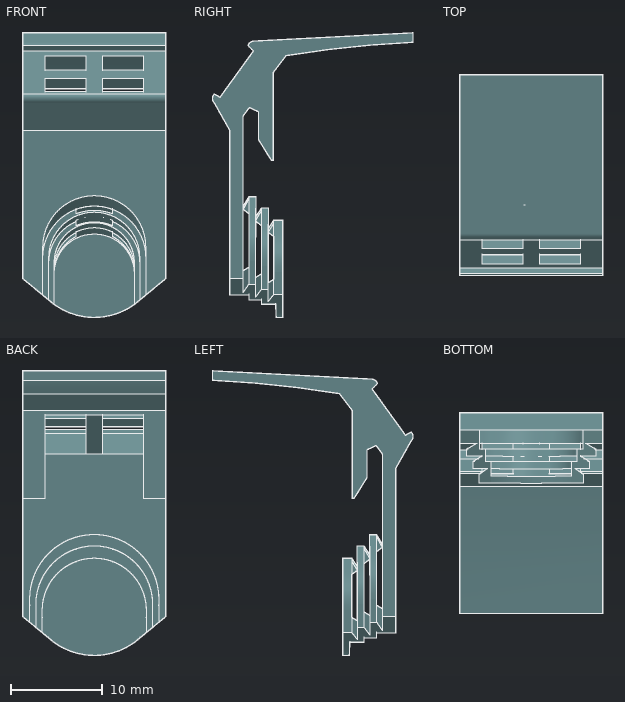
import cadquery as cq
import math

width = 15.6
height = 31.0
half_width = width / 2
wall = 1.45

face_top = (2.57, 29.02)
face_bottom = (-1.05, 24.0)
lower_lip_tip = (-1.9, 23.85)
lower_lip_half_height = 0.5
lower_lip_edge_y = -1.67
lower_lip_root_z = 20.37
upper_lip_tip = (1.98, 29.6)
upper_lip_middle = (2.25, 29.98)
upper_lip_root = (2.67, 30.1)
face_run = face_top[0] - face_bottom[0]
face_rise = face_top[1] - face_bottom[1]
face_slope = face_run / face_rise

arm_end_y = 19.95
arm_end_thickness = 1.05
arm_underside_middle = (13.02, 29.42)
arm_root = (6.15, 28.5)
body_back_y = 4.75
body_back_top_z = 26.65
tongue_front_y = 3.13
tongue_tip_z = 17.1
tongue_tip_thickness = 0.22
tongue_bevel_z = 19.35
slot_ridge = (2.15, 22.85)
slot_front_z = 21.92
slot_back_z = 22.38

window_inner_x = 0.9
window_outer_x = 5.33
upper_window = (26.95, 28.45)
lower_window = (24.6, 26.05)
face_plate_run = 1.25
bar_run = 2.45
upper_ceiling_drop = 0.88
bar_drop = face_slope
lower_floor_drop = 0.45
cell_step = (3.35, 27.47)
cell_back_z = 26.2
notch_ridge = (4.62, 26.3)

edge_corner_z = 4.25
tip_corner = (4.37, 1.43)
layer_depth = 0.7
layer_fronts = (2.08, 3.45, 4.77)
outer_radii = (7.05, 6.35, 5.67)
outer_centres = (6.15, 5.58, 4.93)
opening_radii = (5.6, 4.95, 4.37)
opening_centres = (7.65, 6.5, 5.95)
opening_drop = 0.77
neck_flare = 0.35
bridge_half_width = 1.98
neck_side_tops = (5.1, 4.37, 3.78)
neck_side_rise = 0.6
cover_front_y = 4.95
cover_back_y = 5.7
layer_fold = 0.1
below = -3.1


def extrude_x(outline, x_start, x_end):
    """Prism along X from a closed Workplane outline drawn in Y, Z."""
    return outline.extrude(x_end - x_start).translate((x_start, 0, 0))


def yz_prism(points, x_start, x_end):
    return extrude_x(cq.Workplane("YZ").polyline(points).close(), x_start, x_end)


def face_y(z):
    """Y of the sloped face at height z."""
    return face_bottom[0] + (z - face_bottom[1]) * face_slope


def behind_face(z_start, drop, depth):
    """Point reached from the sloped face by falling `drop` per unit of Y."""
    run = depth / (1 + face_slope * drop)
    return (face_y(z_start) + run, z_start - drop * run)


def arch_wire(y, radius, centre_z):
    return (
        cq.Workplane("XZ", origin=(0, y, 0))
        .moveTo(-radius, below)
        .lineTo(-radius, centre_z)
        .threePointArc((0, centre_z + radius), (radius, centre_z))
        .lineTo(radius, below)
        .close()
        .wires()
        .val()
    )


def arch(y_start, radius_start, centre_start, y_end, radius_end, centre_end):
    """Arched block, open downwards, blending between two arches along Y."""
    wires = [arch_wire(y_start, radius_start, centre_start), arch_wire(y_end, radius_end, centre_end)]
    return cq.Workplane(obj=cq.Solid.makeLoft(wires, True))


def make_body():
    """Side profile of arm, sloped head, tongue and wall."""
    profile = (
        cq.Workplane("YZ")
        .moveTo(0, 0)
        .lineTo(0, lower_lip_root_z)
        .lineTo(lower_lip_edge_y, lower_lip_tip[1] - lower_lip_half_height)
        .threePointArc(lower_lip_tip, (lower_lip_edge_y, lower_lip_tip[1] + lower_lip_half_height))
        .lineTo(*face_bottom)
        .lineTo(*face_top)
        .lineTo(*upper_lip_tip)
        .threePointArc(upper_lip_middle, upper_lip_root)
        .lineTo(arm_end_y, height)
        .lineTo(arm_end_y, height - arm_end_thickness)
        .threePointArc(arm_underside_middle, arm_root)
        .lineTo(body_back_y, body_back_top_z)
        .lineTo(body_back_y, tongue_tip_z)
        .lineTo(body_back_y - tongue_tip_thickness, tongue_tip_z)
        .lineTo(tongue_front_y, tongue_bevel_z)
        .lineTo(tongue_front_y, slot_back_z)
        .lineTo(*slot_ridge)
        .lineTo(wall, slot_front_z)
        .lineTo(wall, 0)
        .close()
    )
    return extrude_x(profile, -half_width, half_width)


def tongue_notch():
    """Gap through the middle of the tongue, its roof carrying on from the slot front."""
    points = [
        (wall, below),
        (wall, slot_front_z),
        notch_ridge,
        (body_back_y, cell_back_z),
        (body_back_y, below),
    ]
    return yz_prism(points, -window_outer_x, window_outer_x)


def window_cell(x_start, x_end):
    """Two windows in the face plate, opening into one cell that is open at the back."""

    def window(z_range, floor_drop, ceiling_drop):
        floor_z, ceiling_z = z_range
        points = [
            (face_y(floor_z), floor_z),
            (face_y(ceiling_z), ceiling_z),
            behind_face(ceiling_z, ceiling_drop, face_plate_run),
            behind_face(floor_z, floor_drop, face_plate_run),
        ]
        return yz_prism(points, x_start, x_end)

    cell_points = [
        behind_face(upper_window[1], upper_ceiling_drop, face_plate_run),
        cell_step,
        notch_ridge,
        (wall, slot_front_z),
        behind_face(lower_window[0], lower_floor_drop, face_plate_run),
    ]
    inner_bar_points = [
        behind_face(upper_window[0], bar_drop, face_plate_run),
        behind_face(lower_window[1], bar_drop, face_plate_run),
        behind_face(lower_window[1], bar_drop, bar_run),
        behind_face(upper_window[0], bar_drop, bar_run),
    ]
    inner_bar = yz_prism(inner_bar_points, x_start, x_end)
    cell = yz_prism(cell_points, x_start, x_end).cut(inner_bar)
    upper = window(upper_window, bar_drop, upper_ceiling_drop)
    lower = window(lower_window, lower_floor_drop, bar_drop)
    return cell.union(upper).union(lower)


def opening(index, y_start, y_end):
    """Arched opening that sinks towards the back."""
    radius = opening_radii[index]
    centre = opening_centres[index]
    return arch(y_start, radius, centre, y_end, radius, centre - opening_drop * (y_end - y_start))


def folded_slab(y_front, y_back):
    """Block with a flat front and a back face that bulges backwards at mid width."""
    points = [
        (-half_width, y_front),
        (half_width, y_front),
        (half_width, y_back),
        (0, y_back + layer_fold),
        (-half_width, y_back),
    ]
    return cq.Workplane("XY").polyline(points).close().extrude(height)


def layer(index):
    """Arched layer, solid across its whole width."""
    y_front = layer_fronts[index]
    last = index == len(layer_fronts) - 1
    y_back = cover_back_y if last else y_front + layer_depth
    shape = (outer_radii[index], outer_centres[index])
    return arch(y_front, *shape, y_back + layer_fold, *shape).intersect(folded_slab(y_front, y_back))


def neck(index):
    """Flared web to the layer behind, kept only as a top bridge and two side stubs."""
    y_start = wall if index == 0 else layer_fronts[index - 1] + layer_depth
    y_end = layer_fronts[index]
    centre = outer_centres[index]
    web = arch(y_start, opening_radii[index] + neck_flare, centre, y_end, outer_radii[index], centre)
    stub_z = neck_side_tops[index]
    gap_points = [
        (y_start, stub_z),
        (y_end, stub_z + neck_side_rise * (y_end - y_start)),
        (y_end, height),
        (y_start, height),
    ]
    for x_start, x_end in ((-half_width, -bridge_half_width), (bridge_half_width, half_width)):
        web = web.cut(yz_prism(gap_points, x_start, x_end))
    return web


def lower_limit():
    """Everything above the sloped lower edges and the rounded tip."""
    tip_x, tip_z = tip_corner
    tip_radius = (tip_x**2 + tip_z**2) / (2 * tip_z)
    half_angle = math.asin(tip_x / tip_radius) / 2
    arc_x = tip_radius * math.sin(half_angle)
    arc_z = tip_radius * (1 - math.cos(half_angle))
    outline = (
        cq.Workplane("XZ")
        .moveTo(-half_width, height)
        .lineTo(-half_width, edge_corner_z)
        .lineTo(-tip_x, tip_z)
        .threePointArc((-arc_x, arc_z), (0, 0))
        .threePointArc((arc_x, arc_z), (tip_x, tip_z))
        .lineTo(half_width, edge_corner_z)
        .lineTo(half_width, height)
        .close()
    )
    return outline.extrude(2 * height, both=True)


part = make_body().cut(tongue_notch())
part = part.cut(window_cell(-window_outer_x, -window_inner_x))
part = part.cut(window_cell(window_inner_x, window_outer_x))

for index in range(len(layer_fronts)):
    part = part.union(layer(index)).union(neck(index))

part = part.cut(opening(0, 0, layer_fronts[0]))
part = part.cut(opening(1, layer_fronts[0], layer_fronts[1]))
recess = opening(2, layer_fronts[1], cover_front_y + layer_fold)
part = part.cut(recess.intersect(folded_slab(0, cover_front_y)))

result = part.intersect(lower_limit())